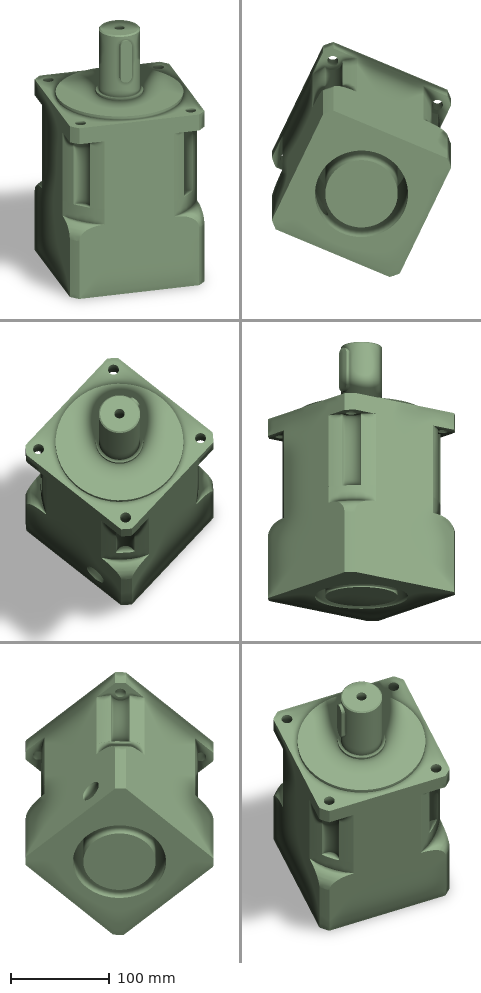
import cadquery as cq
import math

side = 142.0
half_side = side / 2
corner_radius = 95.0
barrel_radius = 80.0

joint_z = 95.4
flange_bottom_z = 170.3
flange_top_z = 187.9
pilot_top_z = 191.8
collar_top_z = 194.5
shaft_top_z = 262.0

shoulder_radius = corner_radius - barrel_radius
shoulder_top_z = 78.5
shoulder_base_z = shoulder_top_z - shoulder_radius
access_radius = 11.3
access_y = -28.8
access_z = 26.0
bore_radius = 47.2

hub_radius = 36.7
pilot_radius = 64.7
collar_radius = 24.0
bolt_offset = 58.2
bolt_hole_radius = 5.5
bolt_groove_radius = 10.0

shaft_radius = 21.0
shaft_chamfer = 1.3
center_radius = 5.2
center_depth = 26.2
drill_half_angle = 60
key_width = 12.0
key_length = 45.8
key_middle_z = 234.2
key_outer_x = 24.0
key_inner_x = 15.0


def cylinder(radius, bottom_z, top_z):
    """Upright cylinder on the main axis."""
    return cq.Workplane("XY").workplane(offset=bottom_z).circle(radius).extrude(top_z - bottom_z)


def square_block(bottom_z, top_z):
    """Upright block with the full square section."""
    return cq.Workplane("XY").workplane(offset=bottom_z).rect(side, side).extrude(top_z - bottom_z)


def at_bolts(radius, bottom_z, top_z):
    """Upright cylinders at the four bolt positions."""
    spacing = 2 * bolt_offset
    plane = cq.Workplane("XY").workplane(offset=bottom_z)
    return plane.rarray(spacing, spacing, 2, 2).circle(radius).extrude(top_z - bottom_z)


def make_adapter():
    arc_offset = shoulder_radius * math.sqrt(0.5)
    turned = (
        cq.Workplane("XZ")
        .lineTo(corner_radius, 0)
        .lineTo(corner_radius, shoulder_base_z)
        .threePointArc(
            (barrel_radius + arc_offset, shoulder_base_z + arc_offset),
            (barrel_radius, shoulder_top_z),
        )
        .lineTo(barrel_radius, joint_z)
        .lineTo(0, joint_z)
        .close()
        .revolve(360, (0, 0), (0, 1))
    )
    access_hole = (
        cq.Workplane("YZ", origin=(-half_side, access_y, access_z))
        .circle(access_radius)
        .extrude(half_side)
    )
    bore = cylinder(bore_radius, 0, joint_z)
    return square_block(0, joint_z).intersect(turned).cut(bore).cut(access_hole)


def make_key():
    """Round-ended key standing out of the +X side of the shaft."""
    return (
        cq.Workplane("YZ", origin=(key_inner_x, 0, key_middle_z))
        .slot2D(key_length, key_width, 90)
        .extrude(key_outer_x - key_inner_x)
    )


def make_shaft():
    straight_bottom_z = shaft_top_z - center_depth
    tip_z = straight_bottom_z - center_radius / math.tan(math.radians(drill_half_angle))
    center_hole = (
        cq.Workplane("XZ")
        .moveTo(0, tip_z)
        .lineTo(center_radius, straight_bottom_z)
        .lineTo(center_radius, shaft_top_z)
        .lineTo(0, shaft_top_z)
        .close()
        .revolve(360, (0, 0), (0, 1))
    )
    shaft = cylinder(shaft_radius, flange_top_z, shaft_top_z).faces(">Z").chamfer(shaft_chamfer)
    return shaft.union(make_key()).cut(center_hole)


def make_gearbox():
    barrel = square_block(joint_z, flange_bottom_z).intersect(
        cylinder(barrel_radius, joint_z, flange_bottom_z)
    )
    barrel = barrel.cut(at_bolts(bolt_groove_radius, joint_z, flange_bottom_z))
    flange = square_block(flange_bottom_z, flange_top_z).intersect(
        cylinder(corner_radius, flange_bottom_z, flange_top_z)
    )
    flange = flange.cut(at_bolts(bolt_hole_radius, flange_bottom_z, flange_top_z))
    pilot = cylinder(pilot_radius, flange_top_z, pilot_top_z)
    collar = cylinder(collar_radius, flange_top_z, collar_top_z)
    hub = cylinder(hub_radius, 0, joint_z)
    return hub.union(barrel).union(flange).union(pilot).union(collar).union(make_shaft())


adapter = make_adapter()
gearbox = make_gearbox()

result = cq.Compound.makeCompound([*adapter.solids().vals(), *gearbox.solids().vals()])